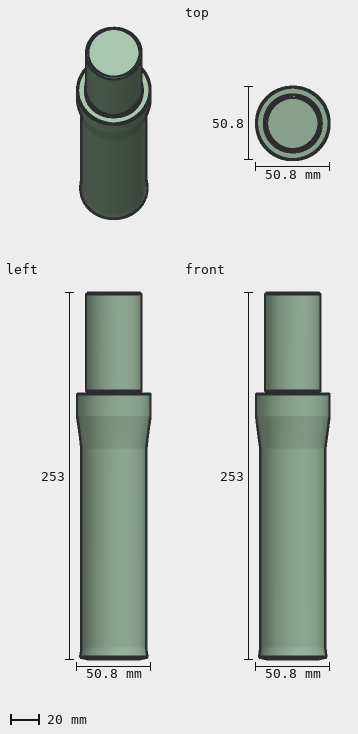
import cadquery as cq

total_height = 253.0
collar_top = 183.5
collar_bottom = 167.5
taper_bottom = 145.2
flare_top = 8.0

collar_radius = 25.42
tube_radius = 22.5
flare_radius = 23.3
collar_chamfer = 0.8
rim_chamfer = 0.8
foot_radius = 17.7
foot_height = 1.0
recess_radius = 20.0
recess_depth = 1.3
recess_floor = collar_top - recess_depth

rod_radius = 19.2
rod_chamfer = 1.5
neck_radius = 18.0
neck_height = 0.5


def revolve_profile(points):
    """Revolve a closed (radius, height) outline about the Z axis."""
    return cq.Workplane("XZ").polyline(points).close().revolve(360, (0, 0), (0, 1))


def make_housing():
    """Tube with a flared foot and a tapered collar, recessed on top for the rod."""
    return revolve_profile([
        (0, 0),
        (foot_radius, 0),
        (flare_radius - rim_chamfer, foot_height),
        (flare_radius, foot_height + rim_chamfer),
        (tube_radius, flare_top),
        (tube_radius, taper_bottom),
        (collar_radius, collar_bottom),
        (collar_radius, collar_top - collar_chamfer),
        (collar_radius - collar_chamfer, collar_top),
        (recess_radius, collar_top),
        (recess_radius, recess_floor),
        (0, recess_floor),
    ])


def make_rod():
    """Rod standing on the recess floor, with a narrow neck and chamfered ends."""
    shoulder = collar_top + neck_height
    return revolve_profile([
        (0, recess_floor),
        (neck_radius, recess_floor),
        (neck_radius, shoulder),
        (rod_radius, shoulder + rod_chamfer),
        (rod_radius, total_height - rod_chamfer),
        (rod_radius - rod_chamfer, total_height),
        (0, total_height),
    ])


housing = make_housing()
rod = make_rod()
result = cq.Compound.makeCompound([housing.val(), rod.val()])